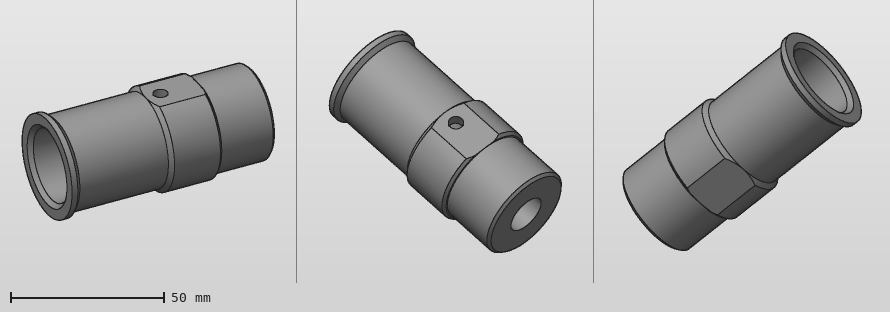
import cadquery as cq

length = 75.3
body_radius = 33.0 / 2
flange_radius = 36.0 / 2
shoulder_rise = flange_radius - body_radius
end_chamfer = 1.0

flange_thickness = 2.1

collar_start = 36.0
collar_end = 55.3
collar_chamfer = 1.0
flat_half_height = body_radius

large_bore_radius = 25.5 / 2
small_bore_radius = 13.4 / 2
mouth_chamfer = 1.5
large_bore_depth = 55.3

radial_hole_diameter = 5.0
radial_hole_y = 41.5


def revolve_about_y(profile_points):
    """Turn a closed (radius, Y) outline into a solid of revolution."""
    outline = cq.Workplane("XY").polyline(profile_points).close()
    return outline.revolve(360, (0, 0, 0), (0, 1, 0))


def make_body():
    """Plain tube blank with the flange at one end and a chamfer at the other."""
    return revolve_about_y([
        (0, 0),
        (flange_radius, 0),
        (flange_radius, flange_thickness),
        (body_radius, flange_thickness + shoulder_rise),
        (body_radius, length - end_chamfer),
        (body_radius - end_chamfer, length),
        (0, length),
    ])


def make_collar():
    """Chamfered ring trimmed by a flat above and a flat below."""
    ring = revolve_about_y([
        (0, collar_start),
        (body_radius, collar_start),
        (flange_radius, collar_start + shoulder_rise),
        (flange_radius, collar_end - collar_chamfer),
        (flange_radius - collar_chamfer, collar_end),
        (0, collar_end),
    ])
    between_flats = cq.Workplane("XY").box(
        2 * flange_radius, 2 * length, 2 * flat_half_height
    )
    return ring.intersect(between_flats)


def make_bore():
    """Large bore with a chamfered mouth, stepping down to a small through bore."""
    return revolve_about_y([
        (0, 0),
        (large_bore_radius + mouth_chamfer, 0),
        (large_bore_radius, mouth_chamfer),
        (large_bore_radius, large_bore_depth),
        (small_bore_radius, large_bore_depth),
        (small_bore_radius, length),
        (0, length),
    ])


def make_radial_hole():
    """Cylinder from the axis up through the upper wall only."""
    return (
        cq.Workplane("XY")
        .center(0, radial_hole_y)
        .circle(radial_hole_diameter / 2)
        .extrude(flange_radius)
    )


result = make_body().union(make_collar()).cut(make_bore()).cut(make_radial_hole())